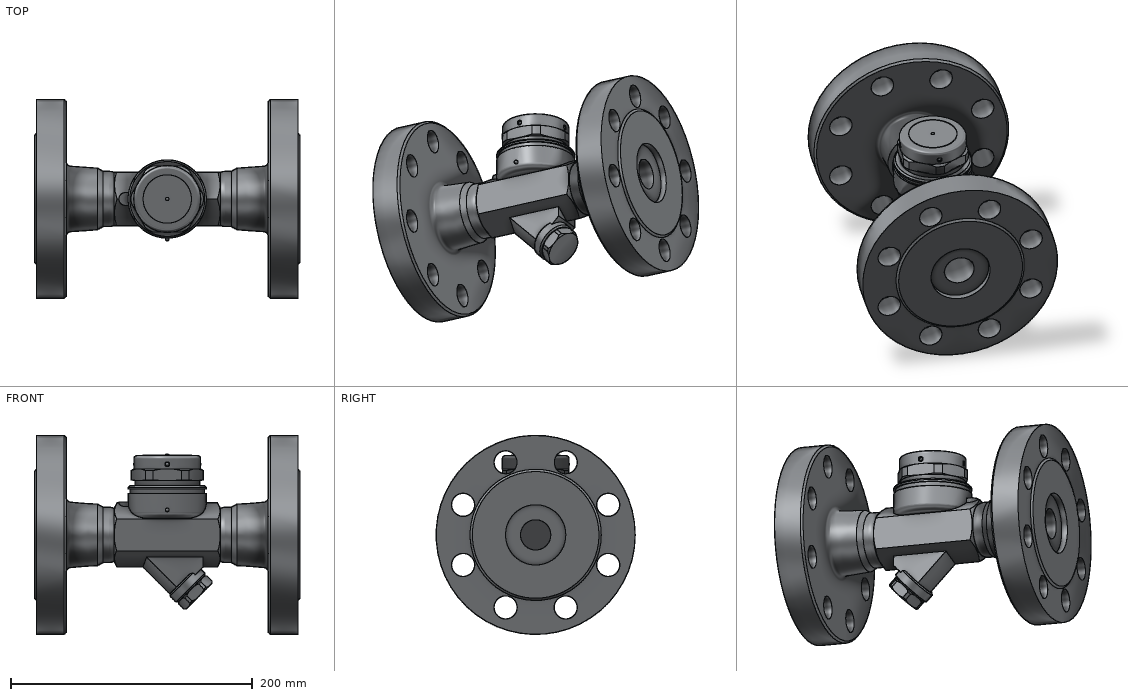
import cadquery as cq
import math

HEX_COS = math.cos(math.radians(30))

LENGTH = 220.0
FLANGE_D = 165.0
FLANGE_BACK_X = 83.5
FLANGE_CHAMFER = 1.8
RAISED_FACE_D = 105.0
RAISED_FACE_ROOT_D = 108.7
RAISED_FACE_HEIGHT = 1.5
BOLT_COUNT = 8
BOLT_CIRCLE_D = 130.0
BOLT_HOLE_D = 19.0
RECESS_D = 50.0
RECESS_DEPTH = 5.0
BORE_D = 25.0

HUB_FILLET = 4.0
HUB_D = 54.3
HUB_SMALL_D = 51.3
HUB_SMALL_X = 57.9
PIPE_D = 46.0
PIPE_START_X = 53.0
PIPE_ROUND_X = 48.2
PIPE_END_DROP = 0.9

BLOCK_LENGTH = 88.5
BLOCK_WIDTH = 44.7
BLOCK_RIDGE_Z = 26.6
BLOCK_SIDE_HALF_HEIGHT = 13.2
BLOCK_CHAMFER_R = 21.8
BLOCK_CHAMFER_LENGTH = 2.6

BOWL_D = 65.0
BOWL_BOTTOM_Z = 13.9
BOWL_TOP_Z = 34.3
BOWL_FILLET = 5.0

LUG_WIDTH = 10.5
LUG_CENTER_X = -34.8
LUG_TOP_Z = 27.3
STUD_D = 3.0
BOWL_STUD_Z = 20.7
BOWL_STUD_REACH = 34.8

LEG_ANGLE = 45.0
LEG_AXIS_Z = -24.5
LEG_START = LEG_AXIS_Z / 2
LEG_WIDTH = 27.3
LEG_END = 39.8
WEB_X = 29.5
PLUG_D = 34.0
PLUG_START = 36.0
PLUG_COLLAR_END = 45.8
PLUG_CHAMFER = 1.3
PLUG_HEX_CORNER_D = 33.0
PLUG_HEX_WIDTH = 30.0
PLUG_HEX_END = 54.5

CAP_GROOVE_D = 62.0
CAP_RING_BOTTOM_Z = 37.8
CAP_SHOULDER_Z = 40.7
CAP_NECK_D = 54.0
CAP_HEX_BOTTOM_Z = 45.0
CAP_HEX_TOP_Z = 54.5
CAP_HEX_WIDTH = 55.0
CAP_HEX_CORNER_D = 59.8
CAP_HEX_CHAMFER_TOP = 1.3
CAP_HEX_CHAMFER_BOTTOM = 0.5
CAP_D = 55.5
CAP_TOP_Z = 65.8
CAP_FLAT_D = 50.0
CAP_DISC_D = 40.0
CAP_DISC_HEIGHT = 0.5
CAP_STUD_HEIGHT = 0.9
CAP_BALL_HOLE_D = 4.0
CAP_BALL_HOLE_DEPTH = 1.5
CAP_BALL_HEIGHT = 0.2
CAP_BALL_Z = 58.5
CAP_BALL_COUNT = 4


def cylinder(diameter, bottom, top):
    """Upright cylinder on the Z axis."""
    return cq.Workplane("XY").workplane(offset=bottom).circle(diameter / 2).extrude(top - bottom)


def chamfered_cylinder(diameter, bottom, top, bottom_cut, top_cut, inset):
    """Upright cylinder whose two rims are cut back by `inset` over the given heights."""
    r = diameter / 2
    outline = [
        (0, bottom),
        (r - inset, bottom),
        (r, bottom + bottom_cut),
        (r, top - top_cut),
        (r - inset, top),
        (0, top),
    ]
    return cq.Workplane("XZ").polyline(outline).close().revolve(360, (0, 0), (0, 1))


def hex_prism(width, bottom, top):
    """Upright hexagon with two of its flats facing -Y and +Y."""
    corner_d = width / HEX_COS
    return cq.Workplane("XY").workplane(offset=bottom).polygon(6, corner_d).extrude(top - bottom)


def flanged_end():
    """Flange, hub and pipe neck on the -X side, turned about the X axis."""
    flange_r = FLANGE_D / 2
    hub_r = HUB_D / 2
    pipe_r = PIPE_D / 2
    face_x = -LENGTH / 2 + RAISED_FACE_HEIGHT
    block_x = -BLOCK_LENGTH / 2
    round_run = PIPE_ROUND_X - BLOCK_LENGTH / 2
    fillet_mid = HUB_FILLET * (1 - math.cos(math.radians(45)))
    end = (
        cq.Workplane("XY")
        .moveTo(-LENGTH / 2, 0)
        .lineTo(-LENGTH / 2, RAISED_FACE_D / 2)
        .lineTo(face_x, RAISED_FACE_ROOT_D / 2)
        .lineTo(face_x, flange_r)
        .lineTo(-FLANGE_BACK_X - FLANGE_CHAMFER, flange_r)
        .lineTo(-FLANGE_BACK_X, flange_r - FLANGE_CHAMFER)
        .lineTo(-FLANGE_BACK_X, hub_r + HUB_FILLET)
        .threePointArc(
            (-FLANGE_BACK_X + fillet_mid, hub_r + fillet_mid),
            (-FLANGE_BACK_X + HUB_FILLET, hub_r),
        )
        .lineTo(-HUB_SMALL_X, HUB_SMALL_D / 2)
        .lineTo(-PIPE_START_X, pipe_r)
        .lineTo(-PIPE_ROUND_X, pipe_r)
        .threePointArc(
            (-PIPE_ROUND_X + round_run / 2, pipe_r - PIPE_END_DROP / 4),
            (block_x, pipe_r - PIPE_END_DROP),
        )
        .lineTo(block_x, 0)
        .close()
        .revolve(360, (0, 0), (1, 0))
    )
    face = cq.Workplane("YZ").workplane(offset=-LENGTH / 2)
    recess = face.circle(RECESS_D / 2).extrude(RECESS_DEPTH)
    bore = face.circle(BORE_D / 2).extrude(LENGTH / 2 + block_x)
    half_pitch = 180 / BOLT_COUNT
    bolt_holes = (
        face.polarArray(BOLT_CIRCLE_D / 2, half_pitch, 360, BOLT_COUNT)
        .circle(BOLT_HOLE_D / 2)
        .extrude(LENGTH / 2 - FLANGE_BACK_X)
    )
    return end.cut(recess).cut(bore).cut(bolt_holes)


def block():
    """Six-sided bar along X whose ends are turned to a cone."""
    half_y = BLOCK_WIDTH / 2
    section = [
        (0, BLOCK_RIDGE_Z),
        (half_y, BLOCK_SIDE_HALF_HEIGHT),
        (half_y, -BLOCK_SIDE_HALF_HEIGHT),
        (0, -BLOCK_RIDGE_Z),
        (-half_y, -BLOCK_SIDE_HALF_HEIGHT),
        (-half_y, BLOCK_SIDE_HALF_HEIGHT),
    ]
    bar = cq.Workplane("YZ").polyline(section).close().extrude(BLOCK_LENGTH / 2, both=True)
    end_x = BLOCK_LENGTH / 2
    cone_x = end_x - BLOCK_CHAMFER_LENGTH
    turned = [
        (-end_x, 0),
        (-end_x, BLOCK_CHAMFER_R),
        (-cone_x, BLOCK_RIDGE_Z),
        (cone_x, BLOCK_RIDGE_Z),
        (end_x, BLOCK_CHAMFER_R),
        (end_x, 0),
    ]
    envelope = cq.Workplane("XY").polyline(turned).close().revolve(360, (0, 0), (1, 0))
    return bar.intersect(envelope)


def bowl():
    """Round bowl that carries the cap, rounded at its lower rim."""
    return cylinder(BOWL_D, BOWL_BOTTOM_Z, BOWL_TOP_Z).faces("<Z").edges().fillet(BOWL_FILLET)


def lug():
    """Round-ended lug that runs from the ridge of the block into the bowl."""
    post = cq.Workplane("XY").center(LUG_CENTER_X, 0).circle(LUG_WIDTH / 2).extrude(LUG_TOP_Z)
    bridge = (
        cq.Workplane("XY")
        .center(LUG_CENTER_X / 2, 0)
        .rect(-LUG_CENTER_X, LUG_WIDTH)
        .extrude(LUG_TOP_Z)
    )
    return post.union(bridge)


def ball(distance):
    """Ball of the stud size, `distance` away from the Z axis towards -Y."""
    return cq.Workplane("XY").sphere(STUD_D / 2).translate((0, -distance, 0))


def bowl_stud():
    """Round-nosed pin that points to -Y from the side of the bowl."""
    nose_y = BOWL_STUD_REACH - STUD_D / 2
    shank = cq.Workplane("XZ").circle(STUD_D / 2).extrude(nose_y)
    return shank.union(ball(nose_y)).translate((0, 0, BOWL_STUD_Z))


def strainer_leg():
    """Leg that is half a hexagon below its axis and a flat web above it."""
    half_y = LEG_WIDTH / 2
    corner = half_y / HEX_COS
    section = [
        (-corner / 2, half_y),
        (corner / 2, half_y),
        (corner, 0),
        (corner / 2, -half_y),
        (-corner / 2, -half_y),
    ]
    leg = tilt(cq.Workplane("XY").polyline(section).close().extrude(LEG_END))

    run = LEG_END * math.sin(math.radians(LEG_ANGLE))
    drop = LEG_END * math.cos(math.radians(LEG_ANGLE))
    end_x = LEG_START + run
    end_z = LEG_START - drop
    wall_foot_z = end_z + (WEB_X - end_x) * math.tan(math.radians(LEG_ANGLE))
    outline = [
        (LEG_START, LEG_START),
        (end_x, end_z),
        (WEB_X, wall_foot_z),
        (WEB_X, LEG_START),
    ]
    web = cq.Workplane("XZ").polyline(outline).close().extrude(half_y, both=True)
    return leg.union(web)


def tilt(upright):
    """Move a shape from the Z axis to the axis of the strainer leg."""
    sloping = upright.rotate((0, 0, 0), (0, 1, 0), 180 - LEG_ANGLE)
    return sloping.translate((LEG_START, 0, LEG_START))


def strainer_plug():
    """Round collar and hexagon head at the end of the strainer leg."""
    collar = chamfered_cylinder(
        PLUG_D, PLUG_START, PLUG_COLLAR_END, PLUG_CHAMFER, PLUG_CHAMFER, PLUG_CHAMFER
    )
    head = hex_prism(PLUG_HEX_WIDTH, PLUG_COLLAR_END, PLUG_HEX_END)
    envelope = chamfered_cylinder(
        PLUG_HEX_CORNER_D, PLUG_COLLAR_END, PLUG_HEX_END, PLUG_CHAMFER, PLUG_CHAMFER, PLUG_CHAMFER
    )
    return tilt(collar.union(head.intersect(envelope)))


def make_housing():
    """Body of the trap with its flanged ends, bowl and strainer leg."""
    inlet = flanged_end()
    outlet = inlet.mirror("YZ")
    housing = block().union(inlet).union(outlet)
    for feature in (bowl(), lug(), bowl_stud(), strainer_leg(), strainer_plug()):
        housing = housing.union(feature)
    return housing


def ball_hole():
    """Shallow hole in the -Y side of the crown of the cap."""
    return (
        cq.Workplane("XZ")
        .workplane(offset=CAP_D / 2 - CAP_BALL_HOLE_DEPTH)
        .center(0, CAP_BALL_Z)
        .circle(CAP_BALL_HOLE_D / 2)
        .extrude(2 * CAP_BALL_HOLE_DEPTH)
    )


def cap_ball():
    """Ball seated in the floor of the hole and standing just proud of the crown."""
    return ball(CAP_D / 2 + CAP_BALL_HEIGHT - STUD_D / 2).translate((0, 0, CAP_BALL_Z))


def around_cap(feature):
    """Copies of a feature, equally spaced about the Z axis."""
    copies = feature
    for i in range(1, CAP_BALL_COUNT):
        copies = copies.union(feature.rotate((0, 0, 0), (0, 0, 1), i * 360 / CAP_BALL_COUNT))
    return copies


def make_cap():
    """Cap that stands on the flat top of the bowl."""
    ring = cylinder(BOWL_D, CAP_RING_BOTTOM_Z, CAP_SHOULDER_Z)
    ring = ring.faces(">Z").edges().chamfer((BOWL_D - CAP_GROOVE_D) / 2)
    cap = cylinder(CAP_GROOVE_D, BOWL_TOP_Z, CAP_RING_BOTTOM_Z).union(ring)
    cap = cap.union(cylinder(CAP_NECK_D, CAP_SHOULDER_Z, CAP_HEX_BOTTOM_Z))

    hexagon = hex_prism(CAP_HEX_WIDTH, CAP_HEX_BOTTOM_Z, CAP_HEX_TOP_Z)
    envelope = chamfered_cylinder(
        CAP_HEX_CORNER_D,
        CAP_HEX_BOTTOM_Z,
        CAP_HEX_TOP_Z,
        CAP_HEX_CHAMFER_BOTTOM,
        CAP_HEX_CHAMFER_TOP,
        (CAP_HEX_CORNER_D - CAP_D) / 2,
    )
    cap = cap.union(hexagon.intersect(envelope))

    crown = cylinder(CAP_D, CAP_HEX_TOP_Z, CAP_TOP_Z)
    crown = crown.faces(">Z").edges().fillet((CAP_D - CAP_FLAT_D) / 2)
    disc_top_z = CAP_TOP_Z + CAP_DISC_HEIGHT
    cap = cap.union(crown)
    cap = cap.union(cylinder(CAP_DISC_D, CAP_TOP_Z, disc_top_z))

    top_stud_z = disc_top_z + CAP_STUD_HEIGHT - STUD_D / 2
    cap = cap.union(ball(0).translate((0, 0, top_stud_z)))
    return cap.cut(around_cap(ball_hole())).union(around_cap(cap_ball()))


housing = make_housing()
cap = make_cap()
result = cq.Compound.makeCompound([*housing.solids().vals(), *cap.solids().vals()])